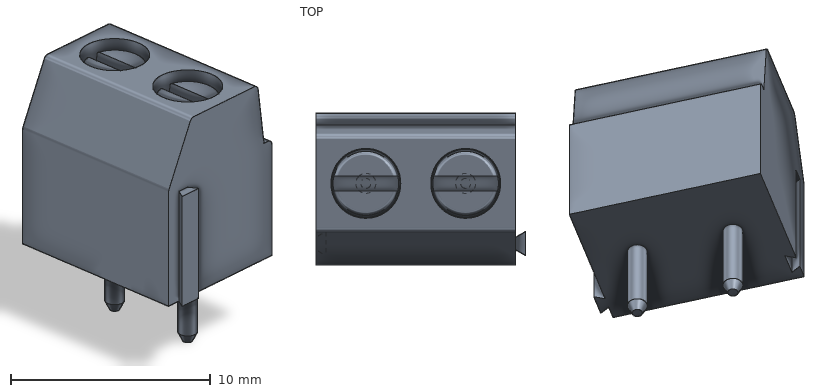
import cadquery as cq
import math

OVERALL_HEIGHT = 14.35
BODY_LENGTH = 10.0
BODY_DEPTH = 7.6
BODY_HEIGHT = 10.0
SHOULDER_HEIGHT = 6.5
TOP_FRONT_Y = 1.68
TOP_BACK_Y = 6.56
LEDGE_FRONT_Y = 7.02
LEDGE_HEIGHT = 6.55
EDGE_RADIUS = 0.3
SHOULDER_RADIUS = 0.5

POLE_COUNT = 2
PITCH = BODY_LENGTH / POLE_COUNT
POLE_Y = 4.09
POLE_CENTERS = [(PITCH * (i + 0.5), POLE_Y) for i in range(POLE_COUNT)]

WELL_RADIUS = 1.75
SCREW_RECESS = 0.5
SCREW_HEAD_HEIGHT = 1.5
SCREW_BASE_RADIUS = 1.71
SCREW_TOP_RADIUS = 1.6
SCREW_EDGE_RADIUS = 0.19
SLOT_WIDTH = 0.75
SLOT_DEPTH = 0.65
SCREW_TOP_Z = BODY_HEIGHT - SCREW_RECESS
WELL_FLOOR_Z = SCREW_TOP_Z - SCREW_HEAD_HEIGHT

PIN_RADIUS = 0.5
PIN_LENGTH = OVERALL_HEIGHT - BODY_HEIGHT
PIN_TIP_RADIUS = PIN_RADIUS / 2
PIN_TIP_LENGTH = 0.5

DOVETAIL_Y = 1.08
DOVETAIL_DEPTH = 0.5
DOVETAIL_NECK_WIDTH = 0.63
DOVETAIL_HEIGHT = 6.2
DOVETAIL_ANGLE = 30
DOVETAIL_FLARE = DOVETAIL_DEPTH * math.tan(math.radians(DOVETAIL_ANGLE))


def edge_along_x(body, y, z):
    """Select the lengthwise edge of the housing at the given profile corner."""
    return body.edges(cq.selectors.NearestToPointSelector((BODY_LENGTH / 2, y, z)))


def make_housing():
    profile = [
        (0, 0),
        (BODY_DEPTH, 0),
        (BODY_DEPTH, LEDGE_HEIGHT),
        (LEDGE_FRONT_Y, LEDGE_HEIGHT),
        (TOP_BACK_Y, BODY_HEIGHT),
        (TOP_FRONT_Y, BODY_HEIGHT),
        (0, SHOULDER_HEIGHT),
    ]
    body = cq.Workplane("YZ").polyline(profile).close().extrude(BODY_LENGTH)
    rounded_corners = [
        (BODY_DEPTH, LEDGE_HEIGHT, EDGE_RADIUS),
        (TOP_BACK_Y, BODY_HEIGHT, EDGE_RADIUS),
        (TOP_FRONT_Y, BODY_HEIGHT, EDGE_RADIUS),
        (0, SHOULDER_HEIGHT, SHOULDER_RADIUS),
    ]
    for y, z, radius in rounded_corners:
        body = edge_along_x(body, y, z).fillet(radius)
    return body


def make_dovetail(neck_x):
    """Upright dovetail bar widening from its neck toward +X."""
    half_neck = DOVETAIL_NECK_WIDTH / 2
    half_wide = half_neck + DOVETAIL_FLARE
    outline = [
        (neck_x, DOVETAIL_Y - half_neck),
        (neck_x + DOVETAIL_DEPTH, DOVETAIL_Y - half_wide),
        (neck_x + DOVETAIL_DEPTH, DOVETAIL_Y + half_wide),
        (neck_x, DOVETAIL_Y + half_neck),
    ]
    return cq.Workplane("XY").polyline(outline).close().extrude(DOVETAIL_HEIGHT)


def make_wells():
    return (
        cq.Workplane("XY", origin=(0, 0, WELL_FLOOR_Z))
        .pushPoints(POLE_CENTERS)
        .circle(WELL_RADIUS)
        .extrude(BODY_HEIGHT - WELL_FLOOR_Z)
    )


def make_screw_heads():
    """Slotted, slightly tapered heads with rounded rims, standing on the well floors."""
    taper = math.degrees(math.atan((SCREW_BASE_RADIUS - SCREW_TOP_RADIUS) / SCREW_HEAD_HEIGHT))
    heads = (
        cq.Workplane("XY", origin=(0, 0, WELL_FLOOR_Z))
        .pushPoints(POLE_CENTERS)
        .circle(SCREW_BASE_RADIUS)
        .extrude(SCREW_HEAD_HEIGHT, taper=taper)
        .faces(">Z")
        .edges()
        .fillet(SCREW_EDGE_RADIUS)
    )
    slots = (
        cq.Workplane("XY", origin=(0, 0, SCREW_TOP_Z))
        .pushPoints(POLE_CENTERS)
        .rect(2 * SCREW_BASE_RADIUS, SLOT_WIDTH)
        .extrude(-SLOT_DEPTH)
    )
    return heads.cut(slots)


def make_pins():
    return (
        cq.Workplane("XY")
        .pushPoints(POLE_CENTERS)
        .circle(PIN_RADIUS)
        .extrude(-PIN_LENGTH)
        .faces("<Z")
        .edges()
        .chamfer(PIN_TIP_LENGTH, PIN_RADIUS - PIN_TIP_RADIUS)
    )


groove = make_dovetail(0)
key = make_dovetail(BODY_LENGTH)

result = (
    make_housing()
    .cut(groove)
    .cut(make_wells().cut(make_screw_heads()))
    .union(key)
    .union(make_pins())
)